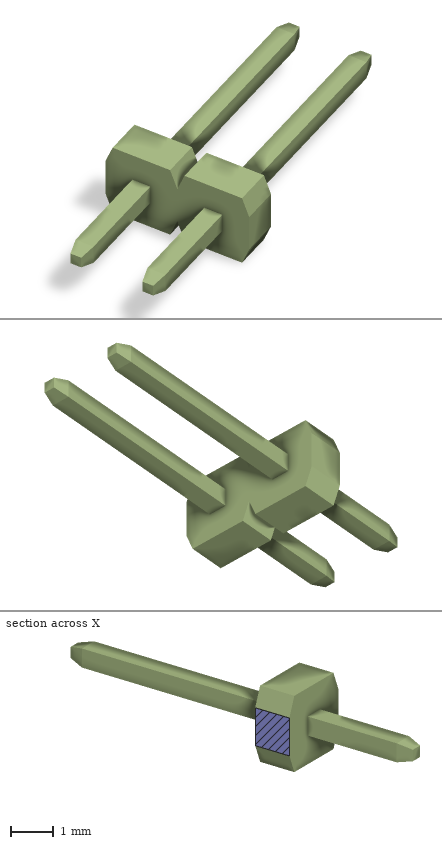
import cadquery as cq

pin_count = 2
pitch = 2.0
housing_height = 2.0
housing_depth = 1.0
corner_width = 0.2
corner_height = 0.5

pin_side = 0.5
tip_side = 0.3
tip_length = 0.4
front_length = 3.0
back_length = 6.0

front_end = -housing_depth / 2 - front_length
back_end = housing_depth / 2 + back_length
pin_positions = [(i - (pin_count - 1) / 2) * pitch for i in range(pin_count)]


def section(y):
    """XZ sketch plane at the given Y, with its normal along +Y."""
    return cq.Workplane(cq.Plane(origin=(0, y, 0), xDir=(1, 0, 0), normal=(0, 1, 0)))


def make_cell(x):
    """Housing cell with four cut corners; neighbouring cells meet in V notches."""
    half_width = pitch / 2
    half_height = housing_height / 2
    flat_x = half_width - corner_width
    flat_z = half_height - corner_height
    outline = [
        (x - flat_x, -half_height),
        (x + flat_x, -half_height),
        (x + half_width, -flat_z),
        (x + half_width, flat_z),
        (x + flat_x, half_height),
        (x - flat_x, half_height),
        (x - half_width, flat_z),
        (x - half_width, -flat_z),
    ]
    return section(-housing_depth / 2).polyline(outline).close().extrude(housing_depth)


def make_taper(x, start_y, end_y):
    """Pin end narrowing from the full pin to the flat tip."""
    return (
        section(start_y).center(x, 0).rect(pin_side, pin_side)
        .workplane(offset=end_y - start_y).rect(tip_side, tip_side)
        .loft(ruled=True)
    )


def make_pin(x):
    """Square pin along Y, tapered at both ends."""
    bar_start = front_end + tip_length
    bar_end = back_end - tip_length
    bar = section(bar_start).center(x, 0).rect(pin_side, pin_side).extrude(bar_end - bar_start)
    front_taper = make_taper(x, bar_start, front_end)
    back_taper = make_taper(x, bar_end, back_end)
    return bar.union(front_taper).union(back_taper)


result = make_cell(pin_positions[0])
for position in pin_positions[1:]:
    result = result.union(make_cell(position))
result = result.clean()
for position in pin_positions:
    result = result.union(make_pin(position))